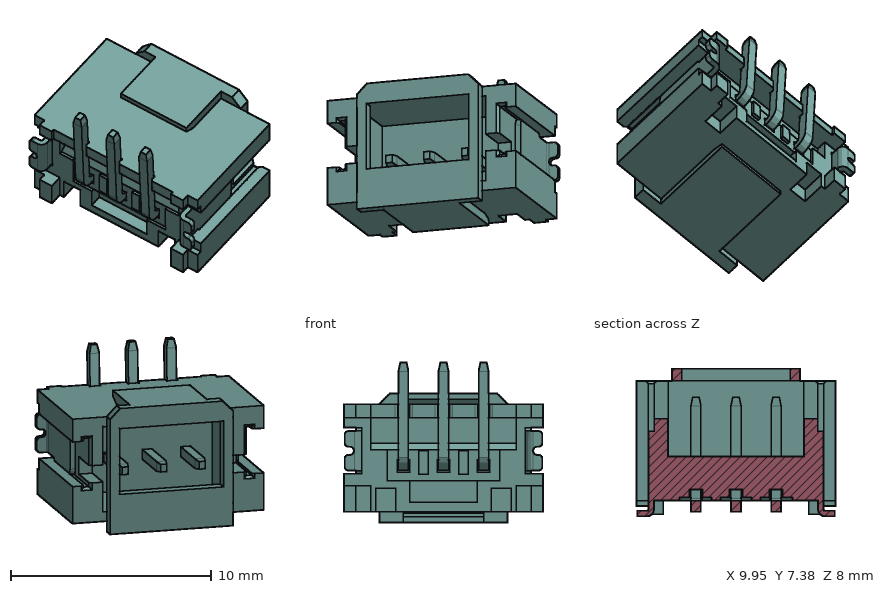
import cadquery as cq
import math


half_width = 4.975
height = 5.385
body_back = 6.77
front_face = 0.79
front_corner = 0.51
front_foot = 0.10
front_lip = 0.26
foot_outer = 4.375
foot_inner = 3.63
lower_foot_top = 1.31
upper_foot_bottom = 4.70

flange_half = 3.2
flange_chamfer = 0.525
flange_height = 0.535
flange_back = 7.38
tongue_half = 2.0
tongue_top_front = 3.77
tongue_bottom_front = 2.28
tongue_slope_length = 0.57
tongue_slope_height = 0.25
tongue_gap = 0.07

cavity_half = 3.39
opening_half = 2.70
cavity_floor = 3.0
cavity_margin = 0.5
opening_bottom = 1.5

slot_half = 4.09
slot_bottom = 1.91
slot_top = 4.21
window_front = 4.88
window_bottom = 2.03
window_top = 2.92
lead_in = 0.14
groove_extra = 0.1

pin_recess_half = 2.81
pin_recess_bottom = 1.56
pin_recess_top = 3.11
pin_recess_depth = 0.15
wedge_rise = 0.32
wedge_length = 0.39
low_pocket_half = 1.685
low_pocket_bottom = 0.49
low_pocket_depth = 0.66
notch_inner = 2.39
notch_outer = 3.39
notch_top = 1.17
notch_depth = 1.2
rib_width = 0.46
rib_bottom = 1.87
rib_top = 3.04

pin_pitch = 2.0
pin_size = 0.5
pin_bottom = 2.07
pin_bend_inner = 0.2
pin_bend_y = 0.9
pin_lean = 2.7
leg_taper_z = 7.06
pin_top = 7.48
pin_tip_y = 5.96
pin_tip_length = 0.44
tip_inset_x = 0.09
tip_inset_depth = 0.055
pin_hole_half = 0.32
pin_hole_bottom = 1.97
pin_hole_top = 2.60
pin_hole_depth = 0.4
relief_half = 0.29
relief_back = 0.62
relief_round = 0.14

tab_thickness = foot_outer - slot_half
tab_bend_inner = 0.08
tab_tip = 4.94
tab_back = 4.27
tab_shoulder = 1.48
tab_bottom = 2.06
tab_top = 4.04
tab_corner = 0.2
tab_back_corner = 0.35
tab_shoulder_round = 0.15
tab_notch_end = 4.475
tab_notch_half = 0.2

pin_places = [-pin_pitch, 0, pin_pitch]


def box(x0, x1, y0, y1, z0, z1):
    return cq.Workplane("XY").box(x1 - x0, y1 - y0, z1 - z0, centered=False).translate((x0, y0, z0))


def centred_box(half, y0, y1, z0, z1):
    return box(-half, half, y0, y1, z0, z1)


def both_sides(shape):
    """The shape together with its mirror image across X = 0."""
    return shape.union(shape.mirror("YZ"))


def side_profile(points, half):
    """Extrude a (y, z) outline symmetrically along X."""
    return cq.Workplane("YZ").polyline(points).close().extrude(half, both=True)


def make_housing():
    housing = centred_box(half_width, front_face, body_back, 0, height)
    for z0, z1 in [(0, lower_foot_top), (upper_foot_bottom, height)]:
        corner = box(foot_outer, half_width, front_corner, front_face, z0, z1)
        foot = box(foot_inner, foot_outer, front_foot, front_face, z0, z1)
        housing = housing.union(both_sides(corner.union(foot)))
    return housing.union(make_lip())


def make_lip():
    lip = centred_box(foot_inner, front_lip, front_face, upper_foot_bottom, height)
    for x in pin_places:
        lip = lip.cut(box(x - relief_half, x + relief_half, 0, relief_back, 0, height))
    margin = 0.01
    pin_edges = cq.selectors.BoxSelector(
        (-pin_pitch - pin_size, front_lip - margin, 0),
        (pin_pitch + pin_size, front_lip + margin, height),
    )
    return lip.edges("|Z").edges(pin_edges).fillet(relief_round)


def make_flange():
    flange = centred_box(flange_half, body_back, flange_back, -flange_height, height + flange_height)
    return flange.edges("|Y and >Z").chamfer(flange_chamfer)


def make_tongue(front, gap, flip):
    """Keying tongue with an undercut nose, on the top or (flipped) on the underside."""
    base = height + gap
    top = height + flange_height
    outline = [
        (flange_back, base),
        (front + tongue_slope_length, base),
        (front, height + tongue_slope_height),
        (front, top),
        (flange_back, top),
    ]
    tongue = side_profile(outline, tongue_half)
    return tongue.mirror("XY", (0, 0, height / 2)) if flip else tongue


def cut_cavity(body):
    cavity_top = height - cavity_margin
    body = body.cut(centred_box(cavity_half, cavity_floor, body_back, cavity_margin, cavity_top))
    return body.cut(centred_box(opening_half, body_back, flange_back, opening_bottom, cavity_top))


def cut_side_slots(body):
    """Slots along both sides, each with a taller groove for the tab and a window at the back."""
    slot = box(slot_half, half_width, 0, body_back, slot_bottom, slot_top)

    groove_bottom = slot_bottom - groove_extra
    groove_top = slot_top + groove_extra
    lead_in_front = body_back - lead_in
    groove = box(slot_half, foot_outer, tab_shoulder, lead_in_front, groove_bottom, groove_top)
    mouth = (
        cq.Workplane("XZ", origin=(0, body_back, 0))
        .center((slot_half + foot_outer) / 2, (groove_bottom + groove_top) / 2)
        .rect(tab_thickness + 2 * lead_in, groove_top - groove_bottom + 2 * lead_in)
        .extrude(lead_in, taper=45)
    )

    window = box(cavity_half, slot_half, window_front, body_back, window_bottom, window_top)
    return body.cut(both_sides(slot.union(groove).union(mouth).union(window)))


def cut_front_recesses(body):
    recess_back = front_face + pin_recess_depth
    slope_back = recess_back + wedge_length
    wedge_outline = [
        (front_face, pin_recess_top),
        (recess_back, pin_recess_top),
        (slope_back, pin_recess_top + wedge_rise),
        (slope_back, upper_foot_bottom),
        (front_face, upper_foot_bottom),
    ]
    body = body.cut(side_profile(wedge_outline, foot_inner))

    pin_recess = centred_box(pin_recess_half, front_face, recess_back, pin_recess_bottom, pin_recess_top)
    for x in [-pin_pitch / 2, pin_pitch / 2]:
        rib = box(x - rib_width / 2, x + rib_width / 2, front_face, recess_back, rib_bottom, rib_top)
        pin_recess = pin_recess.cut(rib)
    body = body.cut(pin_recess)

    pocket_back = front_face + low_pocket_depth
    body = body.cut(
        centred_box(low_pocket_half, front_face, pocket_back, low_pocket_bottom, pin_recess_bottom)
    )
    notch = box(notch_inner, notch_outer, front_face, front_face + notch_depth, 0, notch_top)
    body = body.cut(both_sides(notch))

    hole_back = recess_back + pin_hole_depth
    for x in pin_places:
        hole = box(x - pin_hole_half, x + pin_hole_half, front_face, hole_back,
                   pin_hole_bottom, pin_hole_top)
        body = body.cut(hole)
    return body


def make_square_bar(length, tip_length):
    """Square bar rising from Z = 0 about the Z axis, with a tapered tip on top."""
    bar = cq.Workplane("XY").rect(pin_size, pin_size).extrude(length)
    tip = (
        cq.Workplane("XY")
        .workplane(offset=length)
        .rect(pin_size, pin_size)
        .workplane(offset=tip_length)
        .rect(pin_size - 2 * tip_inset_x, pin_size - 2 * tip_inset_depth)
        .loft()
    )
    return bar.union(tip)


def make_pin():
    """Contact along +Y, a bend, and a leg rising along Z with a slight forward lean."""
    bend_middle = pin_bend_inner + pin_size / 2
    bend_outer = pin_bend_inner + pin_size
    bend_z = pin_bottom + bend_outer

    leg = make_square_bar(leg_taper_z - bend_z, pin_top - leg_taper_z)
    leg = leg.translate((0, -bend_middle, 0)).rotate((0, 0, 0), (1, 0, 0), pin_lean)

    contact = make_square_bar(pin_tip_y - pin_tip_length - pin_bend_y, pin_tip_length)
    contact = contact.rotate((0, 0, 0), (1, 0, 0), -90).translate((0, 0, -bend_middle))

    bend = (
        cq.Workplane("XY")
        .rect(pin_size, pin_size)
        .revolve(90 - pin_lean, (-1, bend_middle, 0), (1, bend_middle, 0))
        .translate((0, -bend_middle, 0))
        .rotate((0, 0, 0), (1, 0, 0), pin_lean)
    )
    return leg.union(bend).union(contact).translate((0, pin_bend_y, bend_z))


def make_tab():
    """Solder tab on the +X side: a plate along the slot wall, bent outward at the front."""
    plate_outer = slot_half + tab_thickness
    bend_outer = tab_bend_inner + tab_thickness
    bend_x = plate_outer + tab_bend_inner
    height_of_tab = tab_top - tab_bottom

    plate_bottom = slot_bottom - groove_extra
    plate_top = slot_top + groove_extra
    plate = box(slot_half, plate_outer, tab_shoulder, tab_back, plate_bottom, plate_top)
    plate = plate.edges("|X and >Y").fillet(tab_back_corner)
    neck = box(slot_half, plate_outer, bend_outer, tab_shoulder, tab_bottom, tab_top)
    plate = plate.union(neck)
    for z in [tab_bottom, tab_top]:
        inner_corner = cq.selectors.NearestToPointSelector((bend_x, tab_shoulder, z))
        plate = plate.edges("|X").edges(inner_corner).fillet(tab_shoulder_round)

    middle = math.sqrt(0.5)
    bend = (
        cq.Workplane("XY")
        .moveTo(slot_half, bend_outer)
        .threePointArc((bend_x - bend_outer * middle, bend_outer - bend_outer * middle), (bend_x, 0))
        .lineTo(bend_x, tab_thickness)
        .threePointArc(
            (bend_x - tab_bend_inner * middle, bend_outer - tab_bend_inner * middle),
            (plate_outer, bend_outer),
        )
        .close()
        .extrude(height_of_tab)
        .translate((0, 0, tab_bottom))
    )

    notch_z = (tab_bottom + tab_top) / 2
    notch_centre = tab_notch_end + tab_notch_half
    notch = box(notch_centre, tab_tip, 0, tab_thickness, notch_z - tab_notch_half, notch_z + tab_notch_half)
    foot = box(bend_x, tab_tip, 0, tab_thickness, tab_bottom, tab_top).cut(notch)
    foot = foot.edges("|Y and >X").fillet(tab_corner)
    notch_round = (
        cq.Workplane("XZ").center(notch_centre, notch_z).circle(tab_notch_half).extrude(-tab_thickness)
    )
    foot = foot.cut(notch_round)
    return plate.union(bend).union(foot)


housing = make_housing()
housing = housing.union(make_flange())
housing = housing.union(make_tongue(tongue_top_front, 0, flip=False))
housing = housing.union(make_tongue(tongue_bottom_front, tongue_gap, flip=True))
housing = cut_cavity(housing)
housing = cut_side_slots(housing)
housing = cut_front_recesses(housing)

for x in pin_places:
    housing = housing.union(make_pin().translate((x, 0, 0)))

result = housing.union(both_sides(make_tab()))